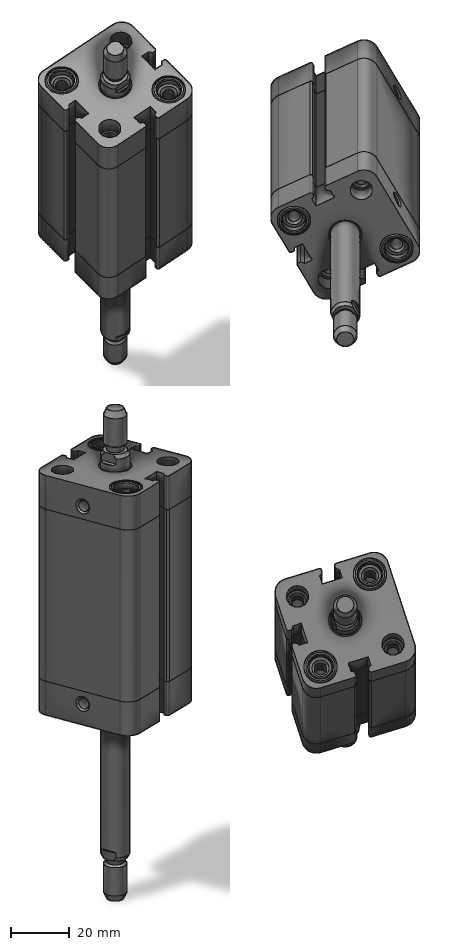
import cadquery as cq
import math


side = 40.3
corner_radius = 5.0
cap_height = 12.6
housing_height = 89.5
tube_height = housing_height - 2 * cap_height

slot_opening = 4.8
slot_mouth = 6.2
slot_width = 7.1
slot_depth = 5.5
slot_lip_depth = 1.6
slot_shoulder_depth = 2.5
slot_mouth_depth = (slot_mouth - slot_opening) / 2
slot_directions = (0, 90, 270)

overall_length = 183.0
rod_diameter = 10.0
rod_chamfer_width = 0.7
rod_chamfer_height = 1.5
across_flats = 8.0
flat_height = 3.3
flat_runout = 0.5
upper_reach = 21.6
lower_reach = overall_length - housing_height - upper_reach
thread_diameter = 8.0
core_diameter = 5.9
shoulder_from_tip = 15.5
thread_length = 13.0
thread_tip = 2.4
thread_runout = 0.5

rod_opening_diameter = 11.3

hole_offset = 13.0
deep_bore_diameter = 7.5
deep_bore_depth = 6.5
screw_diameter = 4.2
screw_mouth_diameter = 5.9
collar_bore_diameter = 8.0
collar_mouth_diameter = 8.8
collar_bore_depth = 2.4
collar_diameter = 10.0
groove_diameter = 11.3

port_diameter = 4.2
port_mouth_diameter = 5.5
port_depth = 7.3
port_from_face = 7.9


def drilled(diameter, mouth_diameter, depth):
    """Hole tool going down from Z = 0, with a 45 degree chamfer at its mouth."""
    chamfer = (mouth_diameter - diameter) / 2
    return (
        cq.Workplane("XZ")
        .moveTo(0, 0)
        .lineTo(mouth_diameter / 2, 0)
        .lineTo(diameter / 2, -chamfer)
        .lineTo(diameter / 2, -depth)
        .lineTo(0, -depth)
        .close()
        .revolve(360, (0, 0, 0), (0, 1, 0))
    )


def block(height):
    """Square bar with rounded upright edges, from Z = 0 up."""
    return (
        cq.Workplane("XY")
        .rect(side, side)
        .extrude(height)
        .edges("|Z")
        .fillet(corner_radius)
    )


def slot_tool(height, rounded_lips):
    """T-slot cutter for the +X face. The lips have round or bevelled edges."""
    face = side / 2
    floor = face - slot_depth
    shoulder = face - slot_shoulder_depth
    lip_back = face - slot_lip_depth
    lip_front = face - slot_mouth_depth
    opening = slot_opening / 2
    mouth = slot_mouth / 2
    width = slot_width / 2
    outline = (
        cq.Workplane("XY")
        .moveTo(floor, -width)
        .lineTo(shoulder, -width)
        .lineTo(lip_back, -opening)
        .lineTo(lip_front, -opening)
    )
    if rounded_lips:
        middle = slot_mouth_depth * (1 - math.sqrt(0.5))
        outline = outline.threePointArc((face - middle, -opening - middle), (face, -mouth))
        outline = outline.lineTo(face, mouth)
        outline = outline.threePointArc((face - middle, opening + middle), (lip_front, opening))
    else:
        outline = outline.lineTo(face, -mouth).lineTo(face, mouth).lineTo(lip_front, opening)
    outline = outline.lineTo(lip_back, opening).lineTo(shoulder, width).lineTo(floor, width)
    return outline.close().extrude(height)


def cut_slots(body, height, rounded_lips):
    tool = slot_tool(height, rounded_lips)
    for angle in slot_directions:
        body = body.cut(tool.rotate((0, 0, 0), (0, 0, 1), angle))
    return body


def make_tube():
    tube = cut_slots(block(tube_height), tube_height, rounded_lips=False)
    rod_hole = cq.Workplane("XY").circle(rod_diameter / 2).extrude(tube_height)
    return tube.cut(rod_hole).translate((0, 0, cap_height))


def collar_groove():
    """Ring tool with an upright outer wall and a 45 degree inner wall, below Z = 0."""
    outer = groove_diameter / 2
    inner = collar_diameter / 2
    return (
        cq.Workplane("XZ")
        .moveTo(inner, 0)
        .lineTo(outer, 0)
        .lineTo(outer, inner - outer)
        .close()
        .revolve(360, (0, 0, 0), (0, 1, 0))
    )


def stepped_hole(bore, depth):
    """Counterbore tool `bore`, `depth` deep, with a chamfered screw hole on through the cap."""
    screw = drilled(screw_diameter, screw_mouth_diameter, cap_height - depth)
    return bore.union(screw.translate((0, 0, -depth)))


def cut_corner_holes(cap):
    """Screw holes: deep ones on one diagonal, shallow ones inside a bevelled collar on the other."""
    deep_bore = cq.Workplane("XY").circle(deep_bore_diameter / 2).extrude(-deep_bore_depth)
    deep_hole = stepped_hole(deep_bore, deep_bore_depth)
    collar_bore = drilled(collar_bore_diameter, collar_mouth_diameter, collar_bore_depth)
    collared_hole = stepped_hole(collar_bore, collar_bore_depth)
    groove = collar_groove()
    for x_side in (-1, 1):
        for y_side in (-1, 1):
            place = (x_side * hole_offset, y_side * hole_offset, cap_height)
            if x_side == y_side:
                cap = cap.cut(collared_hole.translate(place)).cut(groove.translate(place))
            else:
                cap = cap.cut(deep_hole.translate(place))
    return cap


def make_upper_cap():
    """End cap standing on Z = 0, with its outer face up."""
    cap = cut_slots(block(cap_height), cap_height, rounded_lips=True)
    cap = cut_corner_holes(cap)
    rod_hole = drilled(rod_diameter, rod_opening_diameter, cap_height)
    cap = cap.cut(rod_hole.translate((0, 0, cap_height)))
    port = drilled(port_diameter, port_mouth_diameter, port_depth).rotate((0, 0, 0), (0, 1, 0), -90)
    return cap.cut(port.translate((-side / 2, 0, cap_height - port_from_face)))


def flat_tool(shoulder):
    """Cutter for the +X wrench flat below `shoulder`, with a 45 degree runout at its foot."""
    inner = across_flats / 2
    outer = rod_diameter
    foot = shoulder - flat_height
    return (
        cq.Workplane("XZ")
        .moveTo(inner, shoulder)
        .lineTo(inner, foot)
        .lineTo(inner + flat_runout, foot - flat_runout)
        .lineTo(outer, foot - flat_runout)
        .lineTo(outer, shoulder)
        .close()
        .extrude(rod_diameter / 2, both=True)
    )


def rod_end(reach):
    """Rod end from Z = 0 up to `reach`: plain shank with two flats, neck and thread."""
    shoulder = reach - shoulder_from_tip
    thread_start = reach - thread_length
    core = core_diameter / 2
    thread = thread_diameter / 2
    shank = rod_diameter / 2
    end = (
        cq.Workplane("XZ")
        .moveTo(0, 0)
        .lineTo(shank, 0)
        .lineTo(shank, shoulder - rod_chamfer_height)
        .lineTo(shank - rod_chamfer_width, shoulder)
        .lineTo(core, shoulder)
        .lineTo(core, thread_start - thread_runout)
        .lineTo(thread, thread_start)
        .lineTo(thread, reach - thread_tip)
        .lineTo(core, reach)
        .lineTo(0, reach)
        .close()
        .revolve(360, (0, 0, 0), (0, 1, 0))
    )
    flat = flat_tool(shoulder)
    return end.cut(flat).cut(flat.mirror("YZ"))


def make_rod():
    middle = housing_height / 2
    upper_end = rod_end(middle + upper_reach)
    lower_end = rod_end(middle + lower_reach).mirror("XY")
    return upper_end.union(lower_end).translate((0, 0, middle))


tube = make_tube()
upper_cap = make_upper_cap().translate((0, 0, housing_height - cap_height))
lower_cap = make_upper_cap().mirror("XY").translate((0, 0, cap_height))
rod = make_rod()

result = cq.Compound.makeCompound([tube.val(), upper_cap.val(), lower_cap.val(), rod.val()])